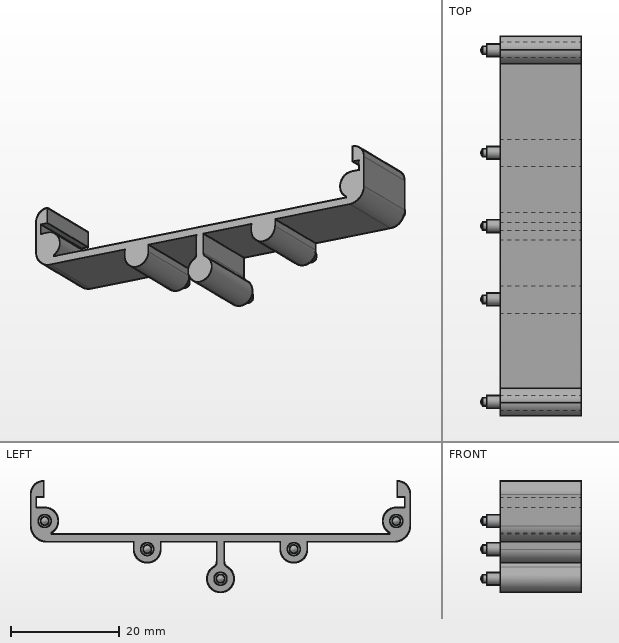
import cadquery as cq
import math

WIDTH = 70.0
RAIL_LENGTH = 15.0
PLATE_THICKNESS = 1.5
BOSS_RADIUS = 2.5

WALL_HEIGHT = 11.3
WALL_THICKNESS = 1.05
LIP_WIDTH = 2.45
LIP_HEIGHT = 3.0
CORNER_RADIUS = 3.0
SIDE_BOSS_HEIGHT = 3.85
SIDE_BOSS_INSET = 2.6
SIDE_BOSS_Y = WIDTH / 2 - SIDE_BOSS_INSET
BOSS_WEB_WIDTH = 3.85

FOOT_SPACING = 27.0
FOOT_DROP = 1.3
STEM_WIDTH = 1.5
STEM_BOSS_DROP = 6.8
STEM_FILLET = 1.0

COLLAR_RADIUS = 1.2
COLLAR_LENGTH = 2.5
NECK_RADIUS = 0.8
NECK_LENGTH = 0.7
TIP_LENGTH = 0.4


def profile():
    """Sketch plane of the cross-section: local x is +Y, local y is +Z."""
    return cq.Workplane("YZ")


def block(y_min, y_max, z_min, z_max):
    """Bar along the rail with a rectangular section."""
    section = profile().center((y_min + y_max) / 2, (z_min + z_max) / 2)
    return section.rect(y_max - y_min, z_max - z_min).extrude(RAIL_LENGTH)


def boss(y, z):
    """Round bar along the rail."""
    return profile().center(y, z).circle(BOSS_RADIUS).extrude(RAIL_LENGTH)


def plate_with_walls():
    """Flat plate with upright walls, rounded along the lower corners."""
    half = WIDTH / 2
    channel = block(-half, half, 0, WALL_HEIGHT).edges("|X and <Z").fillet(CORNER_RADIUS)
    inner_half = half - WALL_THICKNESS
    return channel.cut(block(-inner_half, inner_half, PLATE_THICKNESS, WALL_HEIGHT))


def side_hook():
    """Lip, boss and web on the inside of the +Y wall."""
    outer = WIDTH / 2
    lip = block(outer - LIP_WIDTH, outer, WALL_HEIGHT - LIP_HEIGHT, WALL_HEIGHT)
    boss_top = SIDE_BOSS_HEIGHT + BOSS_RADIUS
    ledge = block(SIDE_BOSS_Y, outer - WALL_THICKNESS, PLATE_THICKNESS, boss_top)
    web = block(outer - BOSS_WEB_WIDTH, SIDE_BOSS_Y, PLATE_THICKNESS, SIDE_BOSS_HEIGHT)
    return lip.union(boss(SIDE_BOSS_Y, SIDE_BOSS_HEIGHT)).union(ledge).union(web)


def lip_rounding():
    """Material outside the quarter round on the top of the +Y wall."""
    outer = WIDTH / 2
    center_y = outer - LIP_WIDTH
    center_z = WALL_HEIGHT - LIP_WIDTH
    corner = block(center_y, outer, center_z, WALL_HEIGHT)
    quarter_round = profile().center(center_y, center_z).circle(LIP_WIDTH).extrude(RAIL_LENGTH)
    return corner.cut(quarter_round)


def foot(y):
    """U-shaped boss hanging from the plate."""
    neck = block(y - BOSS_RADIUS, y + BOSS_RADIUS, -FOOT_DROP, PLATE_THICKNESS / 2)
    return neck.union(boss(y, -FOOT_DROP))


def stem():
    """Central web ending in a boss, blended where they meet."""
    half = STEM_WIDTH / 2
    web = block(-half, half, -STEM_BOSS_DROP, PLATE_THICKNESS / 2)
    joint_z = math.sqrt(BOSS_RADIUS**2 - half**2) - STEM_BOSS_DROP
    joint = cq.selectors.BoxSelector(
        (0, -STEM_WIDTH, joint_z - STEM_FILLET),
        (RAIL_LENGTH, STEM_WIDTH, joint_z + STEM_FILLET),
    )
    return web.union(boss(0, -STEM_BOSS_DROP)).edges("|X").edges(joint).fillet(STEM_FILLET)


def pin(y, z):
    """Stepped pin with a conical tip, turned about an axis along X."""
    neck_end = COLLAR_LENGTH + NECK_LENGTH
    half_section = [
        (0, 0),
        (0, COLLAR_RADIUS),
        (-COLLAR_LENGTH, COLLAR_RADIUS),
        (-COLLAR_LENGTH, NECK_RADIUS),
        (-neck_end, NECK_RADIUS),
        (-neck_end - TIP_LENGTH, 0),
    ]
    turned = cq.Workplane("XY").polyline(half_section).close().revolve(360, (0, 0), (1, 0))
    return turned.translate((0, y, z))


hook = side_hook()
rounding = lip_rounding()
result = plate_with_walls().union(hook).union(hook.mirror("XZ"))
result = result.cut(rounding).cut(rounding.mirror("XZ"))

for side in (-1, 1):
    result = result.union(foot(side * FOOT_SPACING / 2))
result = result.union(stem())

pin_centers = [(0, -STEM_BOSS_DROP)]
for side in (-1, 1):
    pin_centers.append((side * SIDE_BOSS_Y, SIDE_BOSS_HEIGHT))
    pin_centers.append((side * FOOT_SPACING / 2, -FOOT_DROP))
for pin_y, pin_z in pin_centers:
    result = result.union(pin(pin_y, pin_z))